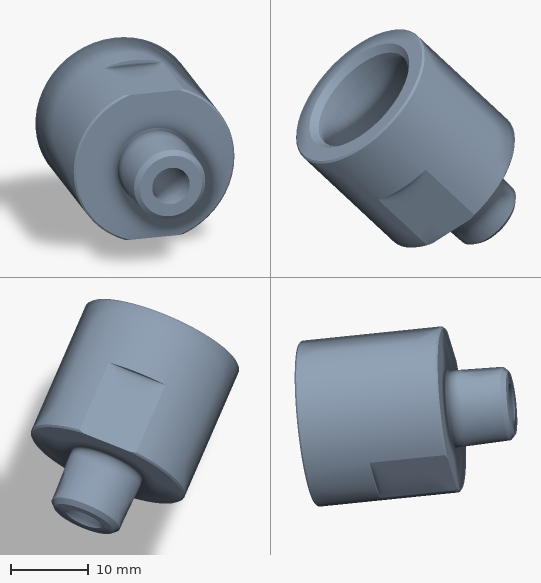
import cadquery as cq


TOTAL_LENGTH = 26.5
BODY_LENGTH = 18.68
BODY_RADIUS = 21.5 / 2
BODY_CHAMFER = 0.25

FLAT_LENGTH = 10.05
ACROSS_FLATS = 19.98

STUB_RADIUS = 9.88 / 2
STUB_STRAIGHT_LENGTH = 1.3
STUB_TAPER = 1 / 16
STUB_CHAMFER = 0.6
STUB_ROOT_FILLET = 0.25

SOCKET_RADIUS = 14.95 / 2
SOCKET_DEPTH = 12.0
SOCKET_MOUTH_RADIUS = 16.65 / 2
SOCKET_MOUTH_DEPTH = SOCKET_MOUTH_RADIUS - SOCKET_RADIUS
BORE_RADIUS = 5.0 / 2
BORE_CHAMFER = 0.2


def revolve_about_x(profile):
    """Turn a half profile, drawn as (x, radius), into a solid about the X axis."""
    return profile.close().revolve(360, (0, 0, 0), (1, 0, 0))


def outer_form():
    """Body and stub as one turned solid."""
    taper_start = BODY_LENGTH + STUB_STRAIGHT_LENGTH
    taper_end = TOTAL_LENGTH - STUB_CHAMFER
    taper_end_radius = STUB_RADIUS - (taper_end - taper_start) * STUB_TAPER / 2
    profile = (
        cq.Workplane("XY")
        .lineTo(0, BODY_RADIUS - BODY_CHAMFER)
        .lineTo(BODY_CHAMFER, BODY_RADIUS)
        .lineTo(BODY_LENGTH - BODY_CHAMFER, BODY_RADIUS)
        .lineTo(BODY_LENGTH, BODY_RADIUS - BODY_CHAMFER)
        .lineTo(BODY_LENGTH, STUB_RADIUS + STUB_ROOT_FILLET)
        .radiusArc((BODY_LENGTH + STUB_ROOT_FILLET, STUB_RADIUS), -STUB_ROOT_FILLET)
        .lineTo(taper_start, STUB_RADIUS)
        .lineTo(taper_end, taper_end_radius)
        .lineTo(TOTAL_LENGTH, taper_end_radius - STUB_CHAMFER)
        .lineTo(TOTAL_LENGTH, 0)
    )
    return revolve_about_x(profile)


def inner_form():
    """Socket with a countersunk mouth, leading into the through bore."""
    profile = (
        cq.Workplane("XY")
        .lineTo(0, SOCKET_MOUTH_RADIUS)
        .lineTo(SOCKET_MOUTH_DEPTH, SOCKET_RADIUS)
        .lineTo(SOCKET_DEPTH, SOCKET_RADIUS)
        .lineTo(SOCKET_DEPTH, BORE_RADIUS + BORE_CHAMFER)
        .lineTo(SOCKET_DEPTH + BORE_CHAMFER, BORE_RADIUS)
        .lineTo(TOTAL_LENGTH, BORE_RADIUS)
        .lineTo(TOTAL_LENGTH, 0)
    )
    return revolve_about_x(profile)


def flat_cutter(side):
    """Block removed to leave one wrench flat; side is +1 for top, -1 for bottom."""
    cut_height = BODY_RADIUS - ACROSS_FLATS / 2
    center = (
        BODY_LENGTH - FLAT_LENGTH / 2,
        0,
        side * (ACROSS_FLATS / 2 + cut_height / 2),
    )
    return cq.Workplane("XY").box(FLAT_LENGTH, 2 * BODY_RADIUS, cut_height).translate(center)


result = outer_form().cut(inner_form())
for side in (1, -1):
    result = result.cut(flat_cutter(side))